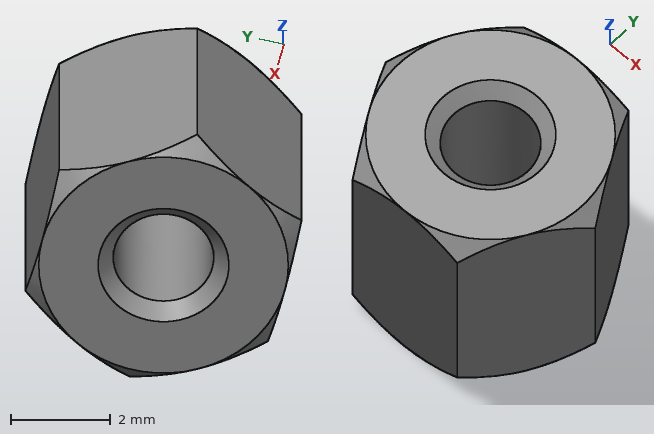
import cadquery as cq
import math

across_corners = 5.77
across_flats = across_corners * math.cos(math.radians(30))
height = 5.0
bore_diameter = 2.015
countersink_diameter = 2.62

countersink_depth = (countersink_diameter - bore_diameter) / 2


def hexagonal_body():
    """Hexagonal prism with corners along X, centred on the origin."""
    return cq.Workplane("XY").polygon(6, across_corners).extrude(height / 2, both=True)


def chamfered_envelope():
    """Round blank, clear of the corners, with 45 degree end cones that reach the flats."""
    corner_clearance = 0.29
    blank_diameter = across_corners + 2 * corner_clearance
    chamfer = (blank_diameter - across_flats) / 2
    blank = cq.Workplane("XY").circle(blank_diameter / 2).extrude(height / 2, both=True)
    return blank.faces("<Z or >Z").chamfer(chamfer)


def countersunk_bore(body):
    """Through bore with a 45 degree countersink at both ends."""
    bored = body.cut(cq.Workplane("XY").circle(bore_diameter / 2).extrude(height / 2, both=True))
    bore_rims = bored.edges(cq.selectors.RadiusNthSelector(0))
    return bore_rims.chamfer(countersink_depth)


result = countersunk_bore(hexagonal_body().intersect(chamfered_envelope()))